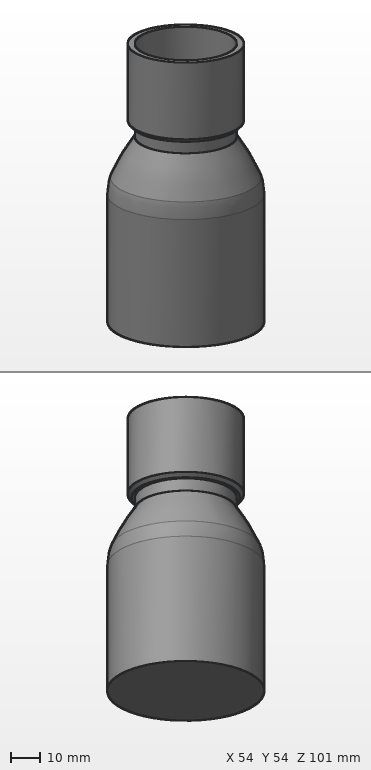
import cadquery as cq

total_height = 101.0
body_top = 46.4
shoulder_seam = 52.4
neck_bottom = 67.2
cup_bottom = 71.7

body_radius = 54.0 / 2
seam_radius = 51.9 / 2
neck_radius = 35.0 / 2
cup_radius = 40.0 / 2
bore_radius = 35.0 / 2

cup_chamfer = 1.4
bore_floor = cup_bottom + cup_chamfer

shoulder_bulge = 0.5
shoulder_mid_radius = (seam_radius + neck_radius) / 2 + shoulder_bulge
shoulder_mid_height = (shoulder_seam + neck_bottom) / 2


def bottle_body():
    """Solid of revolution: body, rounded shoulder, neck and chamfered cup."""
    outline = (
        cq.Workplane("XZ")
        .lineTo(body_radius, 0)
        .lineTo(body_radius, body_top)
        .tangentArcPoint((seam_radius, shoulder_seam), relative=False)
        .threePointArc(
            (shoulder_mid_radius, shoulder_mid_height),
            (neck_radius, neck_bottom),
        )
        .lineTo(neck_radius, cup_bottom)
        .lineTo(cup_radius - cup_chamfer, cup_bottom)
        .lineTo(cup_radius, cup_bottom + cup_chamfer)
        .lineTo(cup_radius, total_height)
        .lineTo(0, total_height)
        .close()
    )
    return outline.revolve(360, (0, 0, 0), (0, 1, 0))


def cup_bore():
    """Blind bore with a flat floor at the top of the cup's lower chamfer."""
    depth = total_height - bore_floor
    return cq.Workplane("XY").workplane(offset=bore_floor).circle(bore_radius).extrude(depth)


result = bottle_body().cut(cup_bore())